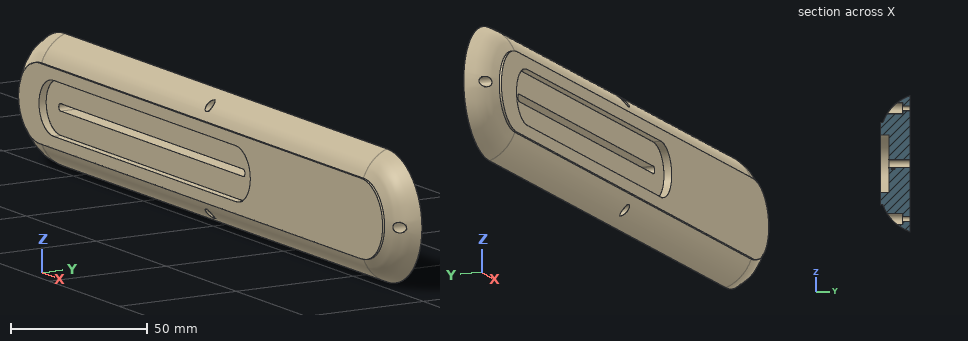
import cadquery as cq

length = 280.0
height = 50.0
depth = 11.0

panel_height = 30.2
panel_step = 0.8
border_mid_inset = 4.8
border_mid_depth = 7.0

recess_left = 24.5
recess_length = 151.0
recess_height = 21.0
recess_depth = 3.0
slot_length = 133.0
slot_height = 2.8

counterbore_diameter = 4.0
pilot_diameter = 1.7
counterbore_floor = 2.8
hole_inset = 4.8

end_radius = height / 2
end_center = length / 2 - end_radius
recess_center = recess_left + (recess_length - length) / 2


def half_section(plane):
    """Half of the body's cross-section: outward along local X, depth along local Y."""
    foot = panel_height / 2
    return (
        cq.Workplane(plane)
        .lineTo(end_radius, 0)
        .threePointArc(
            (end_radius - border_mid_inset, -border_mid_depth),
            (foot, panel_step - depth),
        )
        .lineTo(foot, -depth)
        .lineTo(0, -depth)
        .close()
    )


def make_body():
    """Straight bar closed by a half-round end on each side."""
    section_plane = cq.Plane(origin=(0, 0, 0), xDir=(0, 0, 1), normal=(-1, 0, 0))
    upper_half = half_section(section_plane).extrude(end_center, both=True)
    body = upper_half.union(upper_half.mirror("XY"))
    end = half_section("XY").revolve(360, (0, 0, 0), (0, 1, 0))
    for x in (-end_center, end_center):
        body = body.union(end.translate((x, 0, 0)))
    return body


def front_workplane(y):
    """XZ workplane at the given Y; extrusions run toward the front, along -Y."""
    return cq.Workplane("XZ", origin=(0, y, 0))


def rounded_slot(size, width, floor):
    """Cutter for a round-ended slot, from its floor out past the front face."""
    return (
        front_workplane(floor)
        .center(recess_center, 0)
        .slot2D(size, width)
        .extrude(depth)
    )


def border_holes(diameter, floor):
    """Cutter for the four border holes: one at each end and one at each long side."""
    hole_x = length / 2 - hole_inset
    hole_z = height / 2 - hole_inset
    return (
        front_workplane(floor)
        .pushPoints([(-hole_x, 0), (hole_x, 0), (0, -hole_z), (0, hole_z)])
        .circle(diameter / 2)
        .extrude(depth)
    )


result = (
    make_body()
    .cut(rounded_slot(recess_length, recess_height, recess_depth - depth))
    .cut(rounded_slot(slot_length, slot_height, 0))
    .cut(border_holes(counterbore_diameter, -counterbore_floor))
    .cut(border_holes(pilot_diameter, 0))
)